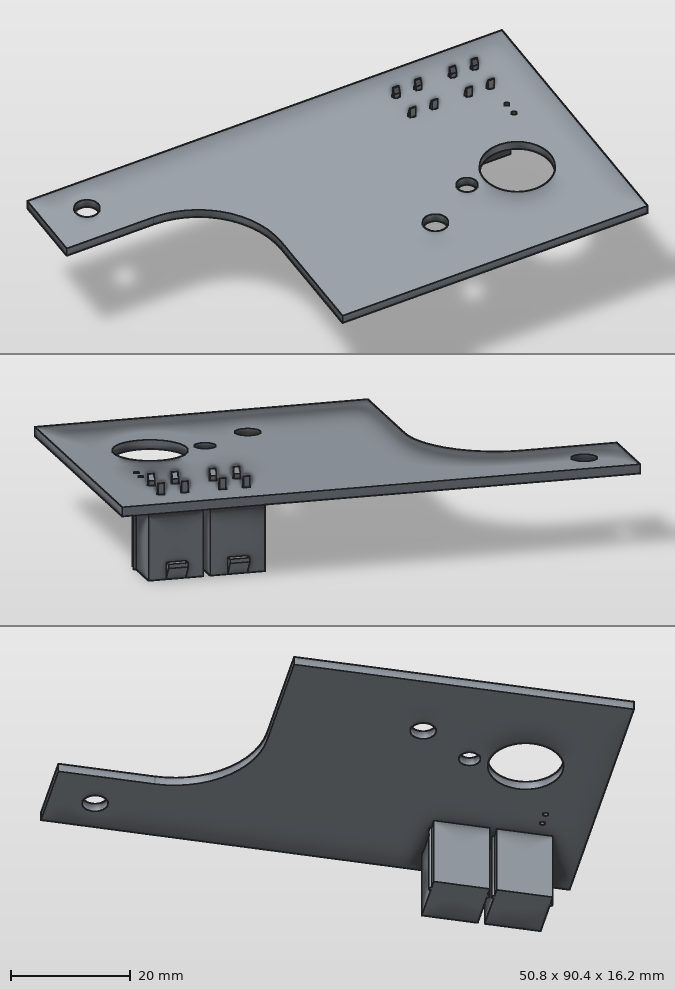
import cadquery as cq


BOARD_WIDTH = 50.8
BOARD_LENGTH = 90.4
BOARD_THICKNESS = 1.6
TAB_WIDTH = 13.7
TAB_LENGTH = 32.3
TAB_CORNER_RADIUS = 15.8

LEFT_X = -BOARD_WIDTH / 2
RIGHT_X = BOARD_WIDTH / 2
FRONT_Y = -BOARD_LENGTH / 2
BACK_Y = BOARD_LENGTH / 2

LARGE_HOLE = (12.7, 6.2, 30.8)
SMALL_HOLE = (3.6, 6.2, 21.25)
SIDE_SCREW_HOLE = (4.3, 12.1, 12.0)
TAB_SCREW_HOLE = (4.3, -19.0, -37.3)

LEAD_HOLE_DIAMETER = 0.9
LEAD_HOLE_COUNT = 2
LEAD_HOLE_PITCH = 2.5
LEAD_HOLE_X = -8.5
LEAD_HOLE_Y = 36.9

CONNECTOR_X = -16.4
CONNECTOR_Y_POSITIONS = (34.5, 23.8)

HOUSING_DEPTH = 9.6
HOUSING_WIDTH = 9.6
HOUSING_HEIGHT = 12.8

RIB_RADIUS = 0.41
RIB_X = -13.65

CHANNEL_LENGTH = 7.4
CHANNEL_DEPTH = 0.3

NOTCH_WIDTH = 2.2
NOTCH_DEPTH = 0.77

LATCH_WIDTH = 3.4
LATCH_REACH = 1.4
LATCH_HEIGHT = 3.0
LATCH_NOSE_HEIGHT = 0.7

PIN_ROW_SPACING = 5.5
PIN_PITCH = 4.2
PIN_HOLE_DIAMETER = 1.4
PIN_HOLE_ROW_CENTRE_X = -16.55
PIN_OFFSET_IN_HOLE = 0.12
PIN_THICKNESS = 0.58
PIN_WIDTH = 1.1
PIN_TIP_THICKNESS = 0.14
PIN_TIP_HEIGHT = 1.1
PIN_PROJECTION = 1.8

HOUSING_FRONT_X = CONNECTOR_X - HOUSING_DEPTH / 2
PIN_TOP_Z = BOARD_THICKNESS + PIN_PROJECTION


def pin_hole_centres(connector_y):
    """Centres of the four pin holes of one connector, each with the side its row is on."""
    return [
        (side, PIN_HOLE_ROW_CENTRE_X + side * PIN_ROW_SPACING / 2, connector_y + end * PIN_PITCH / 2)
        for side in (-1, 1)
        for end in (-1, 1)
    ]


def drill(board, diameter, x, y):
    drill_bit = cq.Workplane("XY").center(x, y).circle(diameter / 2).extrude(BOARD_THICKNESS)
    return board.cut(drill_bit)


def make_board():
    tab_right_x = LEFT_X + TAB_WIDTH
    step_y = FRONT_Y + TAB_LENGTH
    arc_centre = (tab_right_x + TAB_CORNER_RADIUS, step_y - TAB_CORNER_RADIUS)
    diagonal = TAB_CORNER_RADIUS / 2**0.5
    board = (
        cq.Workplane("XY")
        .moveTo(LEFT_X, FRONT_Y)
        .lineTo(tab_right_x, FRONT_Y)
        .lineTo(tab_right_x, arc_centre[1])
        .threePointArc((arc_centre[0] - diagonal, arc_centre[1] + diagonal), (arc_centre[0], step_y))
        .lineTo(RIGHT_X, step_y)
        .lineTo(RIGHT_X, BACK_Y)
        .lineTo(LEFT_X, BACK_Y)
        .close()
        .extrude(BOARD_THICKNESS)
    )
    for hole in (LARGE_HOLE, SMALL_HOLE, SIDE_SCREW_HOLE, TAB_SCREW_HOLE):
        board = drill(board, *hole)
    for index in range(LEAD_HOLE_COUNT):
        board = drill(board, LEAD_HOLE_DIAMETER, LEAD_HOLE_X + index * LEAD_HOLE_PITCH, LEAD_HOLE_Y)
    for connector_y in CONNECTOR_Y_POSITIONS:
        for _, x, y in pin_hole_centres(connector_y):
            board = drill(board, PIN_HOLE_DIAMETER, x, y)
    return board


def make_ribs(connector_y):
    """Round bars centred on the housing sides, so that half of each stands proud."""
    return (
        cq.Workplane("XY", origin=(RIB_X, connector_y, -HOUSING_HEIGHT))
        .pushPoints([(0, -HOUSING_WIDTH / 2), (0, HOUSING_WIDTH / 2)])
        .circle(RIB_RADIUS)
        .extrude(HOUSING_HEIGHT)
    )


def make_latch(connector_y):
    """Hook on the front face, sloping back to the bottom edge of the housing."""
    top_z = -HOUSING_HEIGHT + LATCH_HEIGHT
    nose_x = HOUSING_FRONT_X - LATCH_REACH
    return (
        cq.Workplane("XZ", origin=(0, connector_y, 0))
        .moveTo(HOUSING_FRONT_X, top_z)
        .lineTo(nose_x, top_z)
        .lineTo(nose_x, top_z - LATCH_NOSE_HEIGHT)
        .lineTo(HOUSING_FRONT_X, -HOUSING_HEIGHT)
        .close()
        .extrude(LATCH_WIDTH / 2, both=True)
    )


def make_pin(side, x, y):
    """Flat pin rising from the housing, bevelled at the tip on the side facing the other row."""
    centre_x = x + PIN_OFFSET_IN_HOLE
    outer_x = centre_x + side * PIN_THICKNESS / 2
    inner_x = centre_x - side * PIN_THICKNESS / 2
    return (
        cq.Workplane("XZ", origin=(0, y, 0))
        .moveTo(outer_x, -NOTCH_DEPTH)
        .lineTo(outer_x, PIN_TOP_Z)
        .lineTo(outer_x - side * PIN_TIP_THICKNESS, PIN_TOP_Z)
        .lineTo(inner_x, PIN_TOP_Z - PIN_TIP_HEIGHT)
        .lineTo(inner_x, -NOTCH_DEPTH)
        .close()
        .extrude(PIN_WIDTH / 2, both=True)
    )


def block(length, width, height, x, y, top_z):
    """Box from x towards +X, centred on y in Y and hanging down from top_z."""
    return cq.Workplane("XY", origin=(x, y, top_z - height)).box(
        length, width, height, centered=(False, True, False)
    )


def make_connector(connector_y):
    housing = block(HOUSING_DEPTH, HOUSING_WIDTH, HOUSING_HEIGHT, HOUSING_FRONT_X, connector_y, 0)
    housing = housing.union(make_ribs(connector_y)).union(make_latch(connector_y))

    channel_width = HOUSING_WIDTH + 2 * RIB_RADIUS
    channel_x = CONNECTOR_X - CHANNEL_LENGTH / 2
    housing = housing.cut(block(CHANNEL_LENGTH, channel_width, CHANNEL_DEPTH, channel_x, connector_y, 0))

    pin_holes = pin_hole_centres(connector_y)
    for side, x, y in pin_holes:
        if side < 0:
            notch_length = x + PIN_OFFSET_IN_HOLE - HOUSING_FRONT_X
            housing = housing.cut(block(notch_length, NOTCH_WIDTH, NOTCH_DEPTH, HOUSING_FRONT_X, y, 0))
    for side, x, y in pin_holes:
        housing = housing.union(make_pin(side, x, y))
    return housing


board = make_board()
connectors = [make_connector(connector_y) for connector_y in CONNECTOR_Y_POSITIONS]

result = cq.Compound.makeCompound([board.val(), *[connector.val() for connector in connectors]])